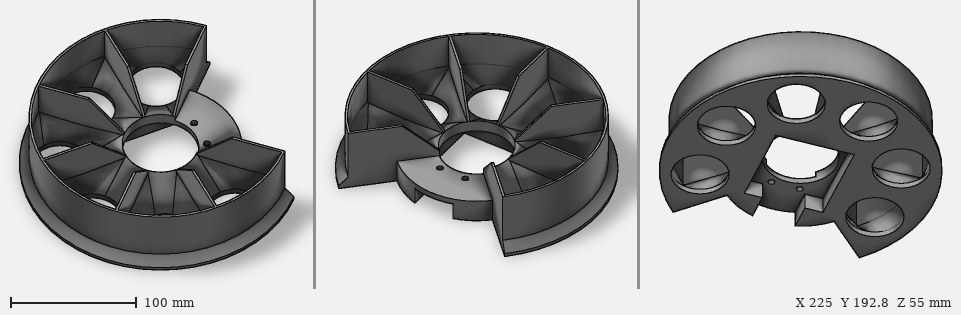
import cadquery as cq
import math

flange_radius = 112.5
wall_radius = 104.8
wall_thickness = 2.0
total_height = 55.0
flange_edge_height = 3.0
flange_slope = flange_radius - wall_radius
wall_inner_radius = wall_radius - wall_thickness

compartment_count = 6
compartment_angle = 45.0
first_rib_angle = -225.0
rib_thickness = 2.0
rib_half = rib_thickness / 2

floor_height = 25.0
outlet_height = 5.0
outlet_radius = 46.0 / 2
outlet_ring_radius = 80.0

bore_radius = 61.0 / 2
hub_radius = 65.0
hub_height = 20.0
pocket_depth = 14.8
pocket_half_width = 33.3
pocket_back = 39.5
channel_half_width = 18.0
screw_diameter = 5.5
screw_spacing = 24.0
screw_y = 35.0


def polar(radius, angle):
    return (radius * math.cos(math.radians(angle)), radius * math.sin(math.radians(angle)))


def z_cylinder(radius, height):
    return cq.Workplane("XY").circle(radius).extrude(height)


def block(x_min, x_max, y_min, y_max, height):
    size = (x_max - x_min, y_max - y_min, height)
    return cq.Workplane("XY").box(*size, centered=False).translate((x_min, y_min, 0))


def make_shell():
    """Solid floor disc with a sloped flange and a thin outer wall."""
    profile = [
        (0, 0),
        (flange_radius, 0),
        (flange_radius, flange_edge_height),
        (wall_radius, flange_edge_height + flange_slope),
        (wall_radius, total_height),
        (wall_inner_radius, total_height),
        (wall_inner_radius, floor_height),
        (0, floor_height),
    ]
    return cq.Workplane("XZ").polyline(profile).close().revolve(360, (0, 0), (0, 1))


def make_open_quarter():
    """Wedge removed towards +Y, set back by half a rib so the end ribs keep their full thickness."""
    tip_y = rib_half * math.sqrt(2)
    reach = 2 * flange_radius
    points = [(0, tip_y), (reach, tip_y + reach), (-reach, tip_y + reach)]
    return cq.Workplane("XY").polyline(points).close().extrude(total_height)


def make_rib(angle):
    """Radial divider whose top falls at 45 degrees to the floor at the bore."""
    outer = wall_radius - wall_thickness / 2
    slope_end = bore_radius + total_height - floor_height
    inner = bore_radius - rib_thickness
    profile = [
        (inner, 0),
        (outer, 0),
        (outer, total_height),
        (slope_end, total_height),
        (bore_radius, floor_height),
        (inner, floor_height),
    ]
    rib = cq.Workplane("XZ").polyline(profile).close().extrude(rib_half, both=True)
    return rib.rotate((0, 0, 0), (0, 0, 1), angle)


def arc_edge(center_x, radius, start, end, z):
    """Arc in a horizontal plane, centred on the X axis, between two angles."""
    points = []
    for angle in (start, (start + end) / 2, end):
        x, y = polar(radius, angle)
        points.append(cq.Vector(center_x + x, y, z))
    return cq.Edge.makeThreePointArc(*points)


def make_funnel(angle):
    """Space above a floor sloping from the rib centrelines down to a round outlet."""
    half_angle = compartment_angle / 2
    outer_arc = arc_edge(0, wall_inner_radius, -half_angle, half_angle, floor_height)
    inner_arc = arc_edge(0, bore_radius, half_angle, -half_angle, floor_height)
    left_side = cq.Edge.makeLine(outer_arc.endPoint(), inner_arc.startPoint())
    right_side = cq.Edge.makeLine(inner_arc.endPoint(), outer_arc.startPoint())
    outline = cq.Wire.assembleEdges([outer_arc, left_side, inner_arc, right_side])

    outward_half = 180 * outer_arc.Length() / outline.Length()
    inward_start = 180 - 180 * inner_arc.Length() / outline.Length()
    corner_angles = [-outward_half, outward_half, inward_start, 360 - inward_start, 360 - outward_half]
    arcs = []
    for start, end in zip(corner_angles, corner_angles[1:]):
        arcs.append(arc_edge(outlet_ring_radius, outlet_radius, start, end, outlet_height))
    outlet = cq.Wire.assembleEdges(arcs)

    funnel = cq.Workplane(cq.Solid.makeLoft([outlet, outline], True))
    hole = z_cylinder(outlet_radius, outlet_height).translate((outlet_ring_radius, 0, 0))
    return funnel.union(hole).rotate((0, 0, 0), (0, 0, 1), angle)


def make_hub_pocket():
    """Recess under the hub with a channel running out through its back."""
    recess = block(-pocket_half_width, pocket_half_width, -pocket_half_width, pocket_back, pocket_depth)
    channel = block(-channel_half_width, channel_half_width, 0, hub_radius, pocket_depth)
    return recess.union(channel)


body = make_shell()
for index in range(compartment_count):
    middle_angle = first_rib_angle + (index + 0.5) * compartment_angle
    body = body.cut(make_funnel(middle_angle))
for index in range(compartment_count + 1):
    body = body.union(make_rib(first_rib_angle + index * compartment_angle))

body = body.cut(make_open_quarter())
hub_back = z_cylinder(hub_radius, hub_height).intersect(make_open_quarter())
body = body.union(hub_back)

body = body.cut(make_hub_pocket())
body = body.cut(z_cylinder(bore_radius, total_height))
for side in (-1, 1):
    screw_hole = z_cylinder(screw_diameter / 2, hub_height)
    body = body.cut(screw_hole.translate((side * screw_spacing / 2, screw_y, 0)))

result = body